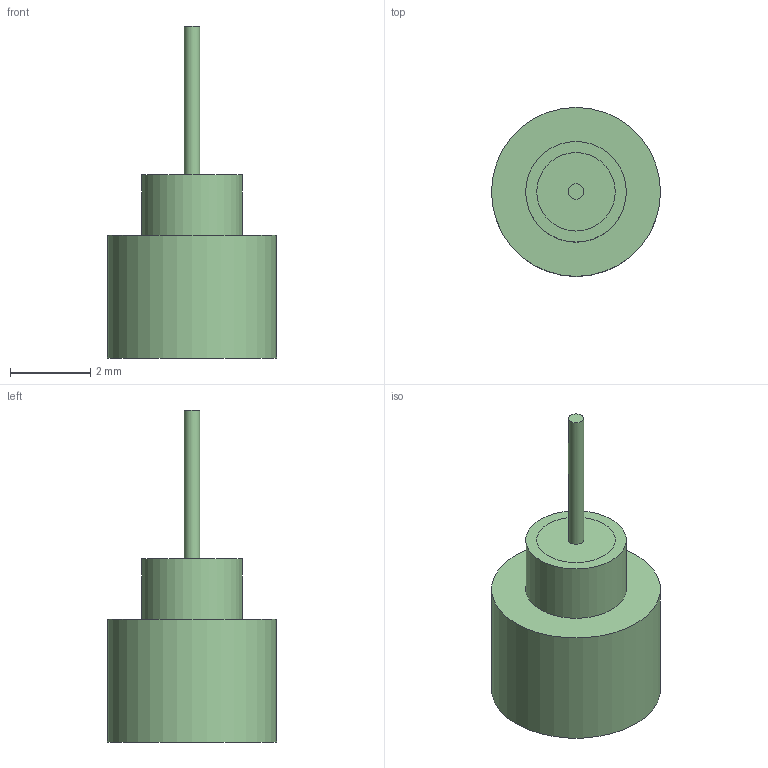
import cadquery as cq

total_height = 8.25
body_diameter = 4.2
body_height = 3.05
neck_diameter = 2.5
neck_height = 1.5
insulator_diameter = 1.95
pin_diameter = 0.38

neck_top = body_height + neck_height
pin_length = total_height - neck_top


def cylinder(diameter, height, base_z):
    """Cylinder on the Z axis, standing on the level base_z."""
    return cq.Workplane("XY").workplane(offset=base_z).circle(diameter / 2).extrude(height)


def make_shell():
    """Stepped body and neck, bored along the neck for the insulator."""
    body = cylinder(body_diameter, body_height, 0)
    neck = cylinder(neck_diameter, neck_height, body_height)
    bore = cylinder(insulator_diameter, neck_height, body_height)
    return body.union(neck).cut(bore)


def make_core():
    """Insulator filling the bore flush with the neck, carrying the pin."""
    insulator = cylinder(insulator_diameter, neck_height, body_height)
    pin = cylinder(pin_diameter, pin_length, neck_top)
    return insulator.union(pin)


result = make_shell().union(make_core(), clean=False)